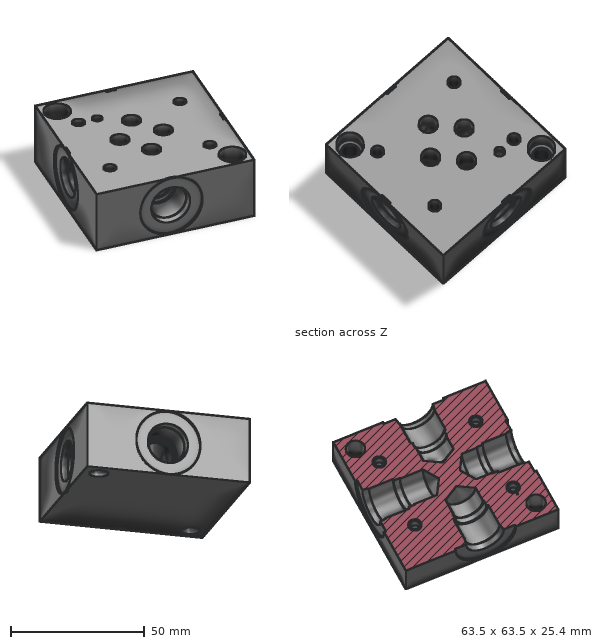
import cadquery as cq
import math

BLOCK_SIDE = 63.5
BLOCK_HEIGHT = 25.4
HALF_SIDE = BLOCK_SIDE / 2
TOP_Z = BLOCK_HEIGHT / 2

DRILL_POINT_ANGLE = 118.0
POINT_SLOPE = 1 / math.tan(math.radians(DRILL_POINT_ANGLE / 2))

MOUNT_OFFSET = 25.4
MOUNT_DIA = 7.14
MOUNT_BORE_DIA = 10.31
MOUNT_BORE_DEPTH = 7.1

PATTERN_X = -14.71
PATTERN_Y = 19.86
BOLT_POSITIONS = [(0, 0), (31.0, 0), (-0.75, 40.5), (31.75, 40.5)]
BOLT_THREAD_DIA = 4.83
BOLT_THREAD_DEPTH = 12.7
BOLT_DRILL_DIA = 3.79
BOLT_DRILL_DEPTH = 15.9

PIN_POSITION = (-0.75, 33.0)
PIN_DIA = 3.96
PIN_DEPTH = 4.0

PASSAGE_DIA = 7.14
PASSAGE_DEPTH = 10.7
PASSAGE_POSITIONS = [(5.1, 21.5), (25.9, 21.5), (15.5, 12.7), (15.5, 30.2)]

SPOTFACE_DIA = 25.02
SPOTFACE_DEPTH = 0.79
SEAT_DIA = 15.6
SEAT_END_DIA = 14.53
SEAT_HALF_ANGLE = 12.0
SEAT_DEPTH = (SEAT_DIA - SEAT_END_DIA) / 2 / math.tan(math.radians(SEAT_HALF_ANGLE))
THREAD_DIA = 14.28
THREAD_DEPTH = 13.2
TAP_DRILL_DIA = 12.9
TAP_DRILL_DEPTH = 15.7
PORT_DRILL_DIA = 12.29
PORT_DEPTH = 22.1
BACK_PORT_DEPTH = 25.15
SIDE_PORT_Y = -1.5875


def on_pattern(position):
    """Position on the top face of a point of the valve bolt pattern."""
    across, down = position
    return (PATTERN_X + across, PATTERN_Y - down, TOP_Z)


def revolved(profile):
    """Solid of revolution about Z from (radius, depth) points, depth going down."""
    points = [(radius, -depth) for radius, depth in profile]
    return cq.Workplane("XZ").polyline(points).close().revolve(360, (0, 0, 0), (0, 1, 0))


def stepped_drill(steps):
    """Drilled hole of (diameter, depth) steps, ending in a drill point."""
    profile = [(0, 0)]
    depth = 0
    for diameter, end_depth in steps:
        profile += [(diameter / 2, depth), (diameter / 2, end_depth)]
        depth = end_depth
    tip_depth = depth + diameter / 2 * POINT_SLOPE
    return revolved(profile + [(0, tip_depth)])


def mounting_holes():
    """Counterbored through holes in two opposite corners."""
    hole = revolved([
        (0, 0),
        (MOUNT_BORE_DIA / 2, 0),
        (MOUNT_BORE_DIA / 2, MOUNT_BORE_DEPTH),
        (MOUNT_DIA / 2, MOUNT_BORE_DEPTH),
        (MOUNT_DIA / 2, BLOCK_HEIGHT),
        (0, BLOCK_HEIGHT),
    ])
    return [hole.translate((side * MOUNT_OFFSET, side * MOUNT_OFFSET, TOP_Z)) for side in (-1, 1)]


def valve_holes():
    """Bolt holes, locating pin hole and passages of the valve pattern."""
    bolt = stepped_drill([(BOLT_THREAD_DIA, BOLT_THREAD_DEPTH), (BOLT_DRILL_DIA, BOLT_DRILL_DEPTH)])
    pin = stepped_drill([(PIN_DIA, PIN_DEPTH)])
    passage = stepped_drill([(PASSAGE_DIA, PASSAGE_DEPTH)])
    holes = [bolt.translate(on_pattern(position)) for position in BOLT_POSITIONS]
    holes.append(pin.translate(on_pattern(PIN_POSITION)))
    holes += [passage.translate(on_pattern(position)) for position in PASSAGE_POSITIONS]
    return holes


def port(drill_depth):
    """Straight-thread port cut downwards from the origin."""
    seat_end = SPOTFACE_DEPTH + SEAT_DEPTH
    return revolved([
        (0, 0),
        (SPOTFACE_DIA / 2, 0),
        (SPOTFACE_DIA / 2, SPOTFACE_DEPTH),
        (SEAT_DIA / 2, SPOTFACE_DEPTH),
        (SEAT_END_DIA / 2, seat_end),
        (THREAD_DIA / 2, seat_end),
        (THREAD_DIA / 2, THREAD_DEPTH),
        (TAP_DRILL_DIA / 2, THREAD_DEPTH),
        (TAP_DRILL_DIA / 2, TAP_DRILL_DEPTH),
        (PORT_DRILL_DIA / 2, TAP_DRILL_DEPTH),
        (PORT_DRILL_DIA / 2, drill_depth),
        (0, drill_depth + PORT_DRILL_DIA / 2 * POINT_SLOPE),
    ])


def side_ports():
    """One port in each of the four side faces."""
    origin = (0, 0, 0)
    x_axis = (1, 0, 0)
    y_axis = (0, 1, 0)
    front = port(PORT_DEPTH).rotate(origin, x_axis, 90).translate((0, -HALF_SIDE, 0))
    back = port(BACK_PORT_DEPTH).rotate(origin, x_axis, -90).translate((0, HALF_SIDE, 0))
    left = port(PORT_DEPTH).rotate(origin, y_axis, -90).translate((-HALF_SIDE, SIDE_PORT_Y, 0))
    right = port(PORT_DEPTH).rotate(origin, y_axis, 90).translate((HALF_SIDE, SIDE_PORT_Y, 0))
    return [front, back, left, right]


result = cq.Workplane("XY").box(BLOCK_SIDE, BLOCK_SIDE, BLOCK_HEIGHT)
for cutter in mounting_holes() + valve_holes() + side_ports():
    result = result.cut(cutter)